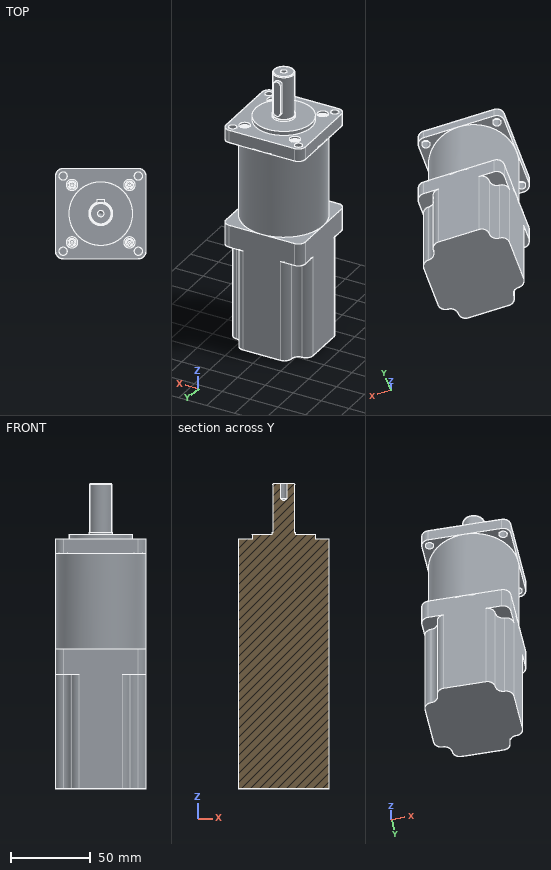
import cadquery as cq
import math

TOTAL_HEIGHT = 192.0
SCALLOP_TOP = 72.0
MOTOR_TOP = 88.0
FLANGE_BOTTOM = 148.0
FLANGE_TOP = 157.0
PILOT_TOP = 160.0
COLLAR_TOP = 161.0

BODY_WIDTH = 57.0
CORNER_RADIUS = 5.0

PILOT_DIAMETER = 40.0
COLLAR_DIAMETER = 15.0
SHAFT_DIAMETER = 14.0
SHAFT_CHAMFER = 0.5
CENTER_HOLE_DIAMETER = 4.0
CENTER_HOLE_DEPTH = 9.6
DRILL_POINT_ANGLE = 118.0

KEY_WIDTH = 5.0
KEY_LENGTH = 25.0
KEY_OUTER_Y = 9.0
KEY_END_GAP = 3.0

MOUNT_HOLE_DIAMETER = 5.2
MOUNT_HOLE_OFFSET = 23.6
SCREW_OFFSET = 18.0
COUNTERBORE_DIAMETER = 7.1
COUNTERBORE_DEPTH = 1.7
SCREW_HEAD_DIAMETER = 5.0
SCREW_HEAD_HEIGHT = 1.0
SCREW_HEAD_CHAMFER = 0.8
HEX_SOCKET_WIDTH = 1.2
HEX_SOCKET_DEPTH = 0.8


def square_pattern(offset):
    """Four points at the corners of a square centred on the axis."""
    return [(x, y) for x in (-offset, offset) for y in (-offset, offset)]


def rounded_block(bottom, top):
    """Square block with rounded vertical edges."""
    return (
        cq.Workplane("XY", origin=(0, 0, bottom))
        .rect(BODY_WIDTH, BODY_WIDTH)
        .extrude(top - bottom)
        .edges("|Z")
        .fillet(CORNER_RADIUS)
    )


def cylinder(diameter, bottom, top):
    return cq.Workplane("XY", origin=(0, 0, bottom)).circle(diameter / 2).extrude(top - bottom)


def turned(x, y, quarters):
    """Point (x, y) turned about the axis by a number of quarter turns."""
    for _ in range(quarters):
        x, y = -y, x
    return (x, y)


def scalloped_motor():
    """Motor housing whose corners are S-curves made of three equal quarter arcs."""
    r = CORNER_RADIUS
    face = BODY_WIDTH / 2
    near = face - r
    far = face - 2 * r
    flat = face - 3 * r
    bulge = r * math.sqrt(0.5)
    outline = cq.Workplane("XY").moveTo(face, -flat)
    for side in range(4):
        outline = (
            outline.lineTo(*turned(face, flat, side))
            .threePointArc(turned(near + bulge, flat + bulge, side), turned(near, far, side))
            .threePointArc(turned(near - bulge, near - bulge, side), turned(far, near, side))
            .threePointArc(turned(flat + bulge, near + bulge, side), turned(flat, face, side))
        )
    return outline.close().extrude(SCALLOP_TOP)


def output_shaft():
    """Keyed shaft with a chamfered tip, a drilled centre hole and a collar at its root."""
    shaft = cylinder(SHAFT_DIAMETER, PILOT_TOP, TOTAL_HEIGHT).faces(">Z").chamfer(SHAFT_CHAMFER)
    collar = cylinder(COLLAR_DIAMETER, PILOT_TOP, COLLAR_TOP)
    key_middle = TOTAL_HEIGHT - KEY_END_GAP - KEY_LENGTH / 2
    key = (
        cq.Workplane("XZ", origin=(0, 0, key_middle))
        .slot2D(KEY_LENGTH, KEY_WIDTH, 90)
        .extrude(-KEY_OUTER_Y)
    )
    hole_radius = CENTER_HOLE_DIAMETER / 2
    wall_bottom = TOTAL_HEIGHT - CENTER_HOLE_DEPTH
    drill_tip = wall_bottom - hole_radius / math.tan(math.radians(DRILL_POINT_ANGLE / 2))
    center_hole = (
        cq.Workplane("XZ")
        .moveTo(0, TOTAL_HEIGHT)
        .lineTo(hole_radius, TOTAL_HEIGHT)
        .lineTo(hole_radius, wall_bottom)
        .lineTo(0, drill_tip)
        .close()
        .revolve(360, (0, 0, 0), (0, 1, 0))
    )
    return shaft.union(collar).union(key).cut(center_hole)


def flange():
    """Output flange with corner through holes and four sunken socket-head screws."""
    seat = FLANGE_TOP - COUNTERBORE_DEPTH
    screw_points = square_pattern(SCREW_OFFSET)
    plate = (
        rounded_block(FLANGE_BOTTOM, FLANGE_TOP)
        .faces(">Z")
        .workplane(origin=(0, 0, FLANGE_TOP))
        .pushPoints(square_pattern(MOUNT_HOLE_OFFSET))
        .hole(MOUNT_HOLE_DIAMETER)
    )
    counterbores = (
        cq.Workplane("XY", origin=(0, 0, seat))
        .pushPoints(screw_points)
        .circle(COUNTERBORE_DIAMETER / 2)
        .extrude(COUNTERBORE_DEPTH)
    )
    heads = (
        cq.Workplane("XY", origin=(0, 0, seat))
        .pushPoints(screw_points)
        .circle(SCREW_HEAD_DIAMETER / 2)
        .extrude(SCREW_HEAD_HEIGHT)
        .faces(">Z")
        .chamfer(SCREW_HEAD_CHAMFER)
        .faces(">Z")
        .workplane(origin=(0, 0, seat + SCREW_HEAD_HEIGHT))
        .pushPoints(screw_points)
        .polygon(6, HEX_SOCKET_WIDTH, circumscribed=True)
        .cutBlind(-HEX_SOCKET_DEPTH)
    )
    return plate.cut(counterbores).union(heads)


gearbox = cylinder(BODY_WIDTH, MOTOR_TOP, FLANGE_BOTTOM)
pilot = cylinder(PILOT_DIAMETER, FLANGE_TOP, PILOT_TOP)

result = (
    scalloped_motor()
    .union(rounded_block(SCALLOP_TOP, MOTOR_TOP))
    .union(gearbox)
    .union(flange())
    .union(pilot)
    .union(output_shaft())
)